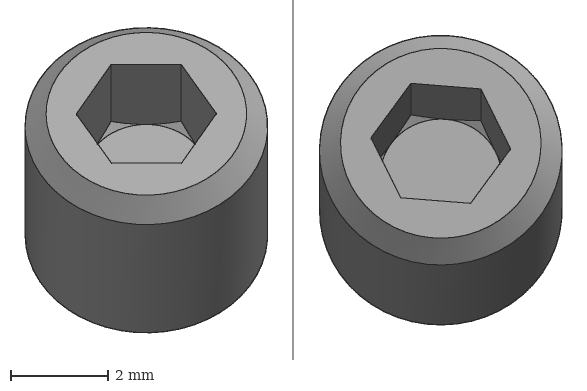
import cadquery as cq
import math

diameter = 5.0
height = 5.0

top_chamfer = 0.435
point_diameter = 3.5
point_chamfer = (diameter - point_diameter) / 2

socket_across_flats = 2.5
socket_across_corners = socket_across_flats / math.cos(math.radians(30))
corner_depth = 2.0

floor_radius = socket_across_flats / 2
corner_radius = socket_across_corners / 2
corner_slope = 30.0
corner_rise = (corner_radius - floor_radius) * math.tan(math.radians(corner_slope))
corner_z = height - corner_depth
floor_z = corner_z - corner_rise


def make_body():
    """Cylinder standing on Z = 0 with both end edges chamfered."""
    cylinder = cq.Workplane("XY").circle(diameter / 2).extrude(height)
    return cylinder.faces(">Z").chamfer(top_chamfer).faces("<Z").chamfer(point_chamfer)


def make_socket():
    """Hexagonal prism whose lower corners are trimmed by a cone around a flat floor."""
    prism = (
        cq.Workplane("XY")
        .workplane(offset=floor_z)
        .polygon(6, socket_across_corners)
        .extrude(height - floor_z)
    )
    bore_profile = [
        (0, floor_z),
        (floor_radius, floor_z),
        (corner_radius, corner_z),
        (corner_radius, height),
        (0, height),
    ]
    bore = cq.Workplane("XZ").polyline(bore_profile).close().revolve(360, (0, 0), (0, 1))
    return prism.intersect(bore)


result = make_body().cut(make_socket())